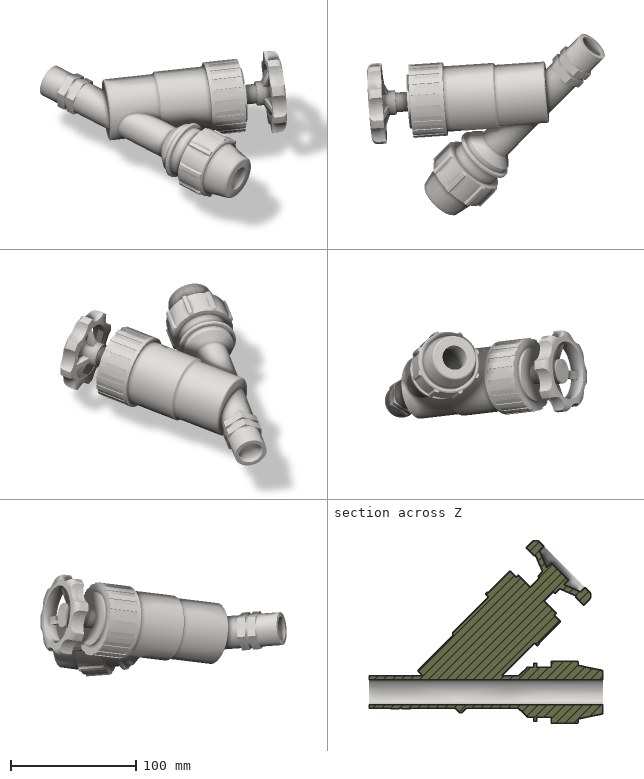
import cadquery as cq
import math

length = 187.0
pipe_d = 26.4
bore_d = 19.6

hex_corner_d = 31.2
hex_width = 6.5
hex_starts = (17.5, 26.5)

cone_x = 119.5
body_x = 126.8
body_d = 40.5
ring_x = 131.3
ring_width = 3.0
ring_d = 47.0
ring_chamfer = 0.5
nut_x = 145.3
nut_end_x = 167.5
nut_d = 49.7
nut_chamfer = 1.0
nose_d = 43.2
nose_tip_d = 35.5
nose_chamfer = 1.0

nut_rib_count = 8
nut_rib_d = 53.1
nut_rib_base = 4.5
nut_rib_tip = 2.8
nut_rib_lead = 1.7

valve_x = 56.1
valve_angle = 45.0
barrel_d = 49.0
barrel_chamfer = 0.7
sleeve_start = 41.1
sleeve_taper = 1.3
sleeve_d = 52.4
cap_start = 81.3
cap_flange = 2.8
cap_end = 108.6
cap_d = 58.7
cap_groove_count = 20
cap_groove_width = 4.3
cap_groove_depth = 0.7
disc_d = 43.2
disc_end = 110.9
stem_d = 15.7
hub_start = 121.0
hub_end = 136.5
hub_d = 19.6

wheel_start = 130.5
wheel_end = 141.7
wheel_d = 65.3
wheel_hole_d = 46.4
wheel_fillet = 4.7
lobe_count = 8
scallop_d = 25.0
scallop_floor_r = 27.3
spoke_count = 4
spoke_bottom_width = 5.2
spoke_top_width = 6.7
spoke_thick = 4.7
spoke_hub_z = 126.5
spoke_rim_z = 131.6
spoke_embed = 2.6

rib_embed = 1.0


def disc(diameter, start, end):
    """Cylinder about Z between two stations."""
    return cq.Workplane("XY").workplane(offset=start).circle(diameter / 2).extrude(end - start)


def make_pipe():
    """Pipe with its hexagon collars, built along Z."""
    pipe = disc(pipe_d, 0, nut_x)
    for start in hex_starts:
        collar = cq.Workplane("XY").workplane(offset=start).polygon(6, hex_corner_d).extrude(hex_width)
        pipe = pipe.union(collar)
    return pipe


def make_coupling():
    """Turned coupling with its ribbed nut, built along Z."""
    outline = [
        (0, cone_x),
        (pipe_d / 2, cone_x),
        (body_d / 2, body_x),
        (body_d / 2, nut_x),
        (nut_d / 2, nut_x),
        (nut_d / 2, nut_end_x - nut_chamfer),
        (nut_d / 2 - nut_chamfer, nut_end_x),
        (nose_d / 2, nut_end_x),
        (nose_tip_d / 2, length - nose_chamfer),
        (nose_tip_d / 2 - nose_chamfer, length),
        (0, length),
    ]
    turned = cq.Workplane("XZ").polyline(outline).close().revolve(360, (0, 0, 0), (0, 1, 0))
    ring = disc(ring_d, ring_x, ring_x + ring_width).edges().chamfer(ring_chamfer)

    return turned.union(ring).union(make_nut_ribs())


def make_nut_ribs():
    """Ring of trapezoidal ribs standing on the nut, with a sloped lead-in at the inlet end."""
    base_r = nut_d / 2
    tip_r = nut_rib_d / 2
    root_r = base_r - rib_embed
    profile = [
        (root_r, -nut_rib_base / 2),
        (base_r, -nut_rib_base / 2),
        (tip_r, -nut_rib_tip / 2),
        (tip_r, nut_rib_tip / 2),
        (base_r, nut_rib_base / 2),
        (root_r, nut_rib_base / 2),
    ]
    rib_end = nut_end_x - nut_chamfer
    rib = cq.Workplane("XY").workplane(offset=nut_x).polyline(profile).close().extrude(rib_end - nut_x)
    lead_in = disc(nut_rib_d + 2 * rib_embed, nut_x, nut_end_x).faces("<Z").chamfer(
        nut_rib_lead, tip_r - base_r + rib_embed
    )
    rib = rib.intersect(lead_in)

    pitch = 360 / nut_rib_count
    ribs = cq.Workplane("XY")
    for i in range(nut_rib_count):
        ribs.add(rib.rotate((0, 0, 0), (0, 0, 1), (i + 0.5) * pitch))
    return ribs.combine()


def make_cap():
    """Cap with shallow flat-bottomed grip grooves that stop above its flange."""
    cap = disc(cap_d, cap_start, cap_end)
    grooves = (
        cq.Workplane("XY")
        .workplane(offset=cap_start + cap_flange)
        .polarArray(cap_d / 2, 0, 360, cap_groove_count)
        .rect(2 * cap_groove_depth, cap_groove_width)
        .extrude(cap_end - cap_start - cap_flange)
    )
    return cap.cut(grooves)


def make_barrel():
    """Barrel, sleeve, cap, top disc and stem, built along Z."""
    outline = [
        (0, 0),
        (barrel_d / 2 - barrel_chamfer, 0),
        (barrel_d / 2, barrel_chamfer),
        (barrel_d / 2, sleeve_start - sleeve_taper),
        (sleeve_d / 2, sleeve_start),
        (sleeve_d / 2, cap_end),
        (disc_d / 2, cap_end),
        (disc_d / 2, disc_end),
        (stem_d / 2, disc_end),
        (stem_d / 2, hub_end),
        (0, hub_end),
    ]
    turned = cq.Workplane("XZ").polyline(outline).close().revolve(360, (0, 0, 0), (0, 1, 0))
    return turned.union(make_cap())


def make_handwheel():
    """Scalloped rim, sloping spokes and hub, built along Z."""
    rim = disc(wheel_d, wheel_start, wheel_end).faces(">Z").edges().fillet(wheel_fillet)
    rim = rim.cut(disc(wheel_hole_d, wheel_start, wheel_end))
    scallop_centre_r = scallop_floor_r + scallop_d / 2
    scallops = (
        cq.Workplane("XY")
        .workplane(offset=wheel_start)
        .polarArray(scallop_centre_r, 180 / lobe_count, 360, lobe_count)
        .circle(scallop_d / 2)
        .extrude(wheel_end - wheel_start)
    )
    wheel = rim.cut(scallops).union(disc(hub_d, hub_start, hub_end))

    spoke = make_spoke()
    for i in range(spoke_count):
        wheel = wheel.union(spoke.rotate((0, 0, 0), (0, 0, 1), i * 360 / spoke_count))
    return wheel


def make_spoke():
    """Bar of trapezoidal section rising from the hub to the rim in the XZ plane."""
    run = (wheel_hole_d - hub_d) / 2
    rise = spoke_rim_z - spoke_hub_z
    foot = cq.Plane(origin=(hub_d / 2, 0, spoke_hub_z), xDir=(0, 1, 0), normal=(run, 0, rise))
    section = [
        (-spoke_bottom_width / 2, 0),
        (spoke_bottom_width / 2, 0),
        (spoke_top_width / 2, spoke_thick),
        (-spoke_top_width / 2, spoke_thick),
    ]
    return (
        cq.Workplane(foot)
        .workplane(offset=-spoke_embed)
        .polyline(section)
        .close()
        .extrude(math.hypot(run, rise) + 2 * spoke_embed)
    )


def lay_along_x(body):
    """Turn a body built along Z so that its axis runs along +X."""
    return body.rotate((0, 0, 0), (0, 1, 0), 90)


line = lay_along_x(make_pipe().union(make_coupling()))
valve = lay_along_x(make_barrel().union(make_handwheel()))
valve = valve.rotate((0, 0, 0), (0, 0, 1), valve_angle).translate((valve_x, 0, 0))
bore = lay_along_x(disc(bore_d, 0, length))

result = line.union(valve).cut(bore)